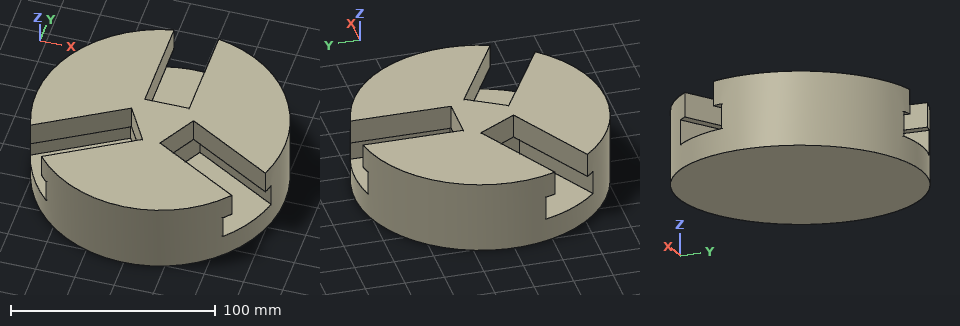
import cadquery as cq

body_diameter = 127.0
body_height = 38.1
slot_count = 3
tier_height = body_height / 3

neck_width = 22.6
neck_inner_end = 11.7
tee_width = 32.6
tee_inner_end = 10.9
slot_outer_end = 0.6 * body_diameter


def slot_tier(width, inner_end, bottom):
    """One rectangular tier of the slot that points along +Y."""
    length = slot_outer_end - inner_end
    return (
        cq.Workplane("XY")
        .box(width, length, tier_height, centered=(True, False, False))
        .translate((0, inner_end, bottom))
    )


def t_slot():
    """Wide tier below a narrow neck that opens to the top face."""
    tee = slot_tier(tee_width, tee_inner_end, tier_height)
    neck = slot_tier(neck_width, neck_inner_end, 2 * tier_height)
    return tee.union(neck)


result = cq.Workplane("XY").circle(body_diameter / 2).extrude(body_height)
for index in range(slot_count):
    angle = index * 360 / slot_count
    result = result.cut(t_slot().rotate((0, 0, 0), (0, 0, 1), angle))